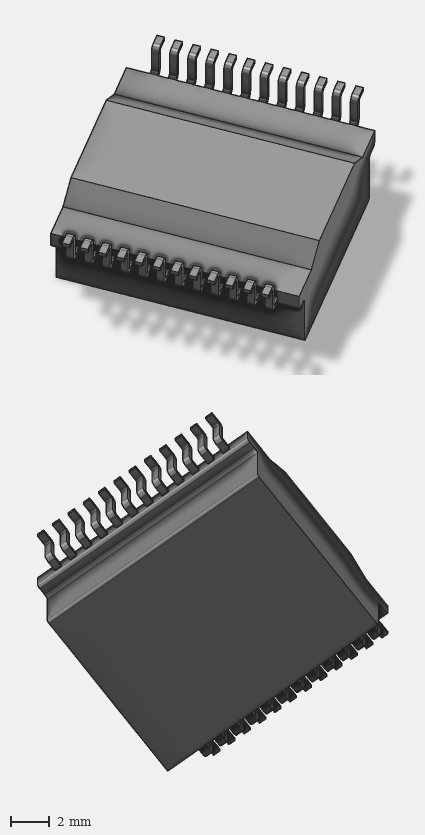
import cadquery as cq

body_length = 13.6
lead_span = 15.24
total_height = 5.72

flange_width = 12.17
lower_width = 10.46
ridge_base_width = 8.26
ridge_top_width = 5.67
flange_bottom = 3.33
flange_top = 4.42
body_top = 5.32
flange_fillet = 0.23
bottom_fillet = 0.16

leads_per_side = 12
lead_pitch = 0.99
lead_width = 0.41
lead_thickness = 0.254
lead_bottom = 3.68
lead_outer_face = 6.97
bend_inner_radius = 0.09
bend_outer_radius = bend_inner_radius + lead_thickness


def extrude_along_x(outline, length, center_x=0):
    """Extrude a list of (y, z) corners along X, centred on center_x."""
    return (
        cq.Workplane("YZ", origin=(center_x - length / 2, 0, 0))
        .polyline(outline)
        .close()
        .extrude(length)
    )


def fillet_x_edge(solid, y, z, radius):
    """Round the edge parallel to X that passes through (y, z)."""
    return solid.edges(cq.NearestToPointSelector((solid.val().Center().x, y, z))).fillet(radius)


def make_body():
    half_outline = [
        (lower_width / 2, 0),
        (lower_width / 2, flange_bottom),
        (flange_width / 2, flange_bottom),
        (flange_width / 2, flange_top),
        (ridge_base_width / 2, flange_top),
        (ridge_top_width / 2, body_top),
    ]
    mirrored_half = [(-y, z) for y, z in reversed(half_outline)]
    body = extrude_along_x(half_outline + mirrored_half, body_length)
    for side in (-1, 1):
        body = fillet_x_edge(body, side * lower_width / 2, 0, bottom_fillet)
        body = fillet_x_edge(body, side * lower_width / 2, flange_bottom, flange_fillet)
        body = fillet_x_edge(body, side * flange_width / 2, flange_bottom, flange_fillet)
    return body


def make_lead(center_x, side):
    """Z-shaped lead: out of the flange, up, then out again as a foot."""
    body_face = side * flange_width / 2
    outer_face = side * lead_outer_face
    inner_face = side * (lead_outer_face - lead_thickness)
    tip = side * lead_span / 2
    lower_top = lead_bottom + lead_thickness
    foot_bottom = total_height - lead_thickness
    outline = [
        (body_face, lead_bottom),
        (outer_face, lead_bottom),
        (outer_face, foot_bottom),
        (tip, foot_bottom),
        (tip, total_height),
        (inner_face, total_height),
        (inner_face, lower_top),
        (body_face, lower_top),
    ]
    lead = extrude_along_x(outline, lead_width, center_x)
    lead = fillet_x_edge(lead, outer_face, lead_bottom, bend_outer_radius)
    lead = fillet_x_edge(lead, inner_face, lower_top, bend_inner_radius)
    lead = fillet_x_edge(lead, inner_face, total_height, bend_outer_radius)
    lead = fillet_x_edge(lead, outer_face, foot_bottom, bend_inner_radius)
    return lead


result = make_body()
for side in (-1, 1):
    for index in range(leads_per_side):
        lead_x = (index - (leads_per_side - 1) / 2) * lead_pitch
        result = result.union(make_lead(lead_x, side))